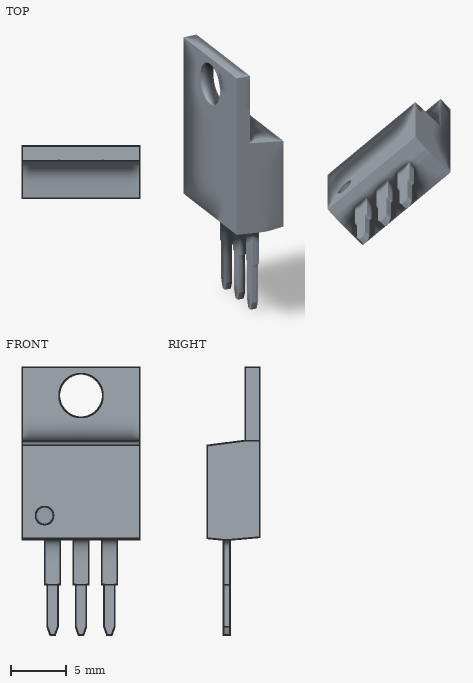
import cadquery as cq

total_height = 24.0
package_width = 10.54
package_depth = 4.7

tab_thickness = 1.32
tab_height = 6.58
tab_hole_diameter = 3.9
tab_hole_drop = 2.55

housing_top = total_height - tab_height
housing_front_top = 17.0
housing_back_bottom = 8.75
housing_front_bottom = 8.66
housing_lowest = 8.52

mark_diameter = 1.6
mark_depth = 0.1
mark_x = -3.26
mark_z = 10.7

lead_count = 3
lead_pitch = 2.55
lead_thickness = 0.6
lead_back = 2.66
shank_width = 1.42
pin_width = 0.98
pin_height = 4.5
tip_width = 0.43
tip_height = 0.77
lead_middle_y = -lead_back - lead_thickness / 2


def make_tab():
    """Flat mounting tab with one through hole."""
    tab = cq.Workplane("XY").box(
        package_width, tab_thickness, tab_height, centered=(True, False, False)
    ).translate((0, -tab_thickness, housing_top))
    hole = (
        cq.Workplane("XZ")
        .center(0, total_height - tab_hole_drop)
        .circle(tab_hole_diameter / 2)
        .extrude(tab_thickness)
    )
    return tab.cut(hole)


def make_housing():
    """Block with a sloped top, an underside sloping to a flat over the leads, and a round mark."""
    housing = (
        cq.Workplane("YZ")
        .moveTo(0, housing_back_bottom)
        .lineTo(0, housing_top)
        .lineTo(-tab_thickness, housing_top)
        .lineTo(-package_depth, housing_front_top)
        .lineTo(-package_depth, housing_front_bottom)
        .lineTo(-lead_back - lead_thickness, housing_lowest)
        .lineTo(-lead_back, housing_lowest)
        .close()
        .extrude(package_width / 2, both=True)
    )
    mark = (
        cq.Workplane("XZ", origin=(0, mark_depth - package_depth, 0))
        .center(mark_x, mark_z)
        .circle(mark_diameter / 2)
        .extrude(mark_depth)
    )
    return housing.cut(mark)


def make_shank(x):
    """Wide upper part of a lead, ending against the underside of the housing."""
    return cq.Workplane("XY").box(
        shank_width, lead_thickness, housing_lowest - pin_height,
        centered=(True, True, False),
    ).translate((x, lead_middle_y, pin_height))


def make_pin(x):
    """Narrow lower part of a lead with a tapered tip."""
    return (
        cq.Workplane("XZ", origin=(x, -lead_back, 0))
        .moveTo(-tip_width / 2, 0)
        .lineTo(tip_width / 2, 0)
        .lineTo(pin_width / 2, tip_height)
        .lineTo(pin_width / 2, pin_height)
        .lineTo(-pin_width / 2, pin_height)
        .lineTo(-pin_width / 2, tip_height)
        .close()
        .extrude(lead_thickness)
    )


tab = make_tab()
housing = make_housing()
shanks = []
pins = []
for index in range(lead_count):
    lead_x = (index - (lead_count - 1) / 2) * lead_pitch
    shanks.append(make_shank(lead_x).val())
    pins.append(make_pin(lead_x).val())

result = cq.Compound.makeCompound([tab.val(), housing.val(), *shanks, *pins])